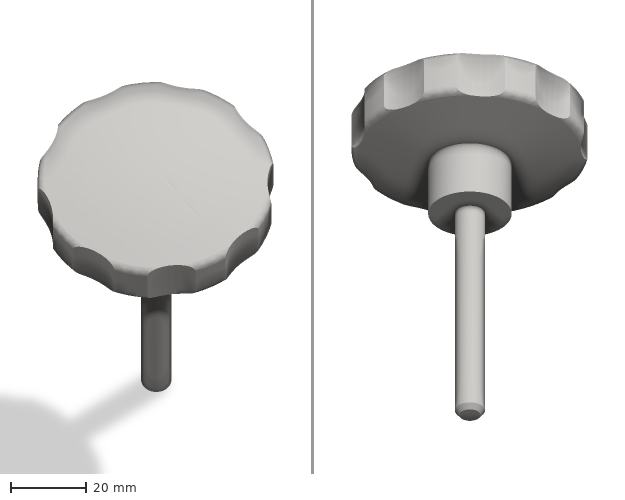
import cadquery as cq
import math

total_height = 98.0
hub_bottom = 63.0
hub_top = 78.1

stem_radius = 4.0
tip_chamfer_height = 1.5
tip_chamfer_width = 1.2
hub_radius = 11.1

wheel_radius = 31.5
dome_radius = 124.95
underside_rise = 3.5
rim_fillet = 2.0

scallop_count = 9
scallop_radius = 16.7
scallop_floor_radius = 29.5
first_scallop_angle = 90.0


def dome_height(radius):
    """Height of the spherical crown at a distance from the axis."""
    drop = dome_radius - math.sqrt(dome_radius**2 - radius**2)
    return total_height - drop


def make_wheel():
    """Revolved wheel with a domed top, conical underside and rounded rim."""
    rim_bottom = hub_top + underside_rise
    wheel = (
        cq.Workplane("XZ")
        .moveTo(0, hub_top)
        .lineTo(hub_radius, hub_top)
        .lineTo(wheel_radius, rim_bottom)
        .lineTo(wheel_radius, dome_height(wheel_radius))
        .threePointArc((wheel_radius / 2, dome_height(wheel_radius / 2)), (0, total_height))
        .close()
        .revolve(360, (0, 0), (0, 1))
    )
    return wheel.faces("%CYLINDER").edges("%CIRCLE").fillet(rim_fillet)


def make_scallops():
    """Vertical cylinders that bite equally spaced finger grips into the rim."""
    center_distance = scallop_floor_radius + scallop_radius
    return (
        cq.Workplane("XY", origin=(0, 0, hub_top))
        .polarArray(center_distance, first_scallop_angle, 360, scallop_count)
        .circle(scallop_radius)
        .extrude(total_height - hub_top)
    )


def make_hub_and_stem():
    """Cylindrical hub with a long stem ending in a chamfered tip."""
    hub = (
        cq.Workplane("XY", origin=(0, 0, hub_bottom))
        .circle(hub_radius)
        .extrude(hub_top - hub_bottom)
    )
    stem = (
        cq.Workplane("XY")
        .circle(stem_radius)
        .extrude(hub_bottom)
        .faces("<Z")
        .chamfer(tip_chamfer_height, tip_chamfer_width)
    )
    return hub.union(stem)


result = make_wheel().cut(make_scallops()).union(make_hub_and_stem())